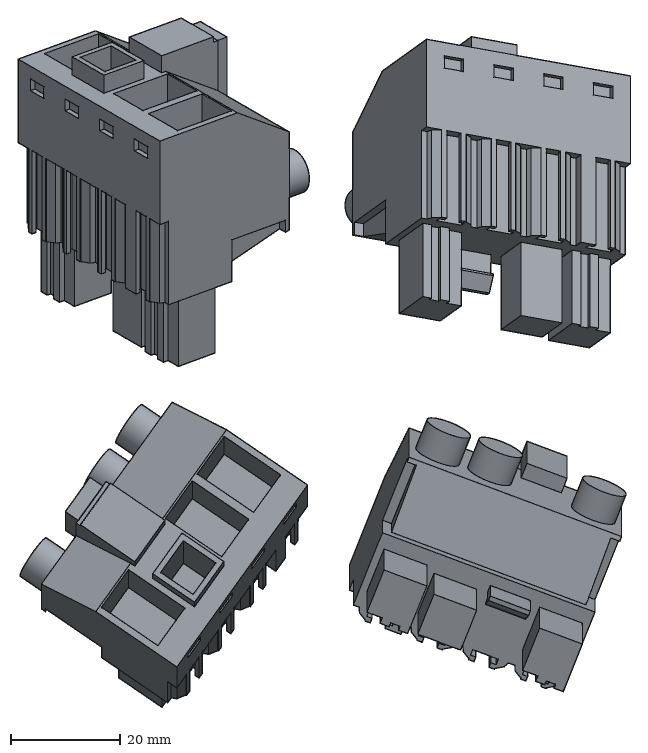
import cadquery as cq


POLE_COUNT = 4
PITCH = 10.2
POLE_X = [(i - (POLE_COUNT - 1) / 2) * PITCH for i in range(POLE_COUNT)]
LATCH_X = POLE_X[1]
CONTACT_X = [POLE_X[0], POLE_X[2], POLE_X[3]]
KEYED_LEG_X = [POLE_X[0], POLE_X[3]]
PLAIN_LEG_X = POLE_X[2]

WIDTH = 41.75
DEPTH = 30.3
BOTTOM_Z = 14.4
TOP_Z = 48.75
FOOT_DEPTH = 16.8
BEVEL_START_Y = 18.1
BEVEL_END_Z = 40.9
BELLY_REAR_Z = 20.75
BELLY_FOOT_Z = 17.0
RELIEF_TOP_Z = 23.0
RELIEF_INSET = 1.8
LIP_THICKNESS = 0.9

CAVITY_WIDTH = 8.6
CAVITY_FRONT_Y = 5.15
CAVITY_REAR_Y = 17.75
CAVITY_FLOOR_Z = 34.1
WINDOW_WIDTH = 3.95
WINDOW_HEIGHT = 2.4
WINDOW_BOTTOM_Z = 43.75
WINDOW_DEPTH = 1.05

TUBE_SIZE = 9.35
TUBE_WALL = 1.05
TUBE_FRONT_Y = 3.85
TUBE_TOP_Z = 52.5

RIB_TOP_Z = 31.55
VALLEY_DEPTH = 2.05
SHOULDER_DEPTH = 1.1
CREST_STEP = 0.15
RIB_ROOT = 4.45
RIB_SHOULDER = 4.05
RIB_CREST = 2.5
RIB_GROOVE_HALF_WIDTH = 1.45
RIB_LIP_THICKNESS = 0.95
RIB_UNDERCUT_HALF_WIDTH = 2.5
PLAIN_BLOCK_REACH = 4.55

LEG_WIDTH = 8.4
LEG_FRONT_Y = 4.3
PLAIN_LEG_FRONT_Y = 4.9
PLAIN_LEG_REAR_Y = 13.0
LEG_REAR_Y = 14.0
LEG_FIRST_KEY_START = 1.8
LEG_FIRST_KEY_WIDTH = 1.85
LEG_FIRST_KEY_DEPTH = 0.8
LEG_SECOND_KEY_START = 5.4
LEG_SECOND_KEY_DEPTH = 1.1

TONGUE_WIDTH = 7.9
TONGUE_REAR_Y = 14.6
TONGUE_FRONT_Y = 13.1
TONGUE_TIP_Z = 7.1
BARB_TOP_Z = 10.3
BARB_EDGE_Z = 9.9
BARB_FRONT_Y = 12.1
BARB_TIP_Y = 13.7

LATCH_WIDTH = 9.55
LATCH_LEFT_X = LATCH_X - TUBE_SIZE / 2
LATCH_FRONT_Y = 17.15
LATCH_TOP_Z = 52.3
LATCH_STEP_Y = 29.35
LATCH_STEP_Z = 51.2
TAB_WIDTH = 7.9
TAB_REAR_Y = 33.25
TAB_BOTTOM_Z = 35.35
TAB_TOP_Z = 50.6

STUD_DIAMETER = 8.55
STUD_Z = 28.8
STUD_END_Y = 36.0


def block(x_range, y_range, z_range):
    """Box between the given limits."""
    size = [limits[1] - limits[0] for limits in (x_range, y_range, z_range)]
    corner = (x_range[0], y_range[0], z_range[0])
    return cq.Workplane("XY").box(*size, centered=False).translate(corner)


def centred_block(x, width, y_range, z_range):
    """Box with its middle at x."""
    return block((x - width / 2, x + width / 2), y_range, z_range)


def side_profile(x_left, width, points):
    """Prism along X with its outline given as (Y, Z) points."""
    return cq.Workplane("YZ", origin=(x_left, 0, 0)).polyline(points).close().extrude(width)


def housing_body():
    outline = [
        (0, BOTTOM_Z),
        (0, TOP_Z),
        (BEVEL_START_Y, TOP_Z),
        (DEPTH, BEVEL_END_Z),
        (DEPTH, BELLY_REAR_Z),
        (FOOT_DEPTH, BELLY_FOOT_Z),
        (FOOT_DEPTH, BOTTOM_Z),
    ]
    body = side_profile(-WIDTH / 2, WIDTH, outline)
    relief_y = (FOOT_DEPTH, DEPTH - LIP_THICKNESS)
    relief_z = (BOTTOM_Z, RELIEF_TOP_Z)
    for x in (-WIDTH / 2, WIDTH / 2 - RELIEF_INSET):
        body = body.cut(block((x, x + RELIEF_INSET), relief_y, relief_z))
    return body


def rib_outline(x, side):
    """Half of a grooved rib as (X, Y) points; side is 1 for the left half and -1 for the right."""
    half = [
        (-RIB_ROOT, VALLEY_DEPTH),
        (-RIB_SHOULDER, SHOULDER_DEPTH),
        (-RIB_CREST, CREST_STEP),
        (-RIB_CREST, 0),
        (-RIB_GROOVE_HALF_WIDTH, 0),
        (-RIB_GROOVE_HALF_WIDTH, RIB_LIP_THICKNESS),
        (-RIB_UNDERCUT_HALF_WIDTH, RIB_LIP_THICKNESS),
        (-RIB_UNDERCUT_HALF_WIDTH, VALLEY_DEPTH),
    ]
    return [(x + side * dx, y) for dx, y in half]


def rib_front():
    """All rib halves and the plain block that replaces the left half of the last rib."""
    height = RIB_TOP_Z - BOTTOM_Z
    plane = cq.Workplane("XY", origin=(0, 0, BOTTOM_Z))
    block_start = POLE_X[-1] - PLAIN_BLOCK_REACH
    undercut_start = POLE_X[-1] - RIB_UNDERCUT_HALF_WIDTH
    plain_block = block((block_start, undercut_start), (0, VALLEY_DEPTH), (BOTTOM_Z, RIB_TOP_Z))
    halves = []
    for x in POLE_X:
        for side in (1, -1):
            halves.append(plane.polyline(rib_outline(x, side)).close().extrude(height))
    return [plain_block, *halves]


def plain_leg(x):
    return centred_block(x, LEG_WIDTH, (PLAIN_LEG_FRONT_Y, PLAIN_LEG_REAR_Y), (0, BOTTOM_Z))


def keyed_leg(x):
    """Leg with two coding steps cut into its front."""
    solid = centred_block(x, LEG_WIDTH, (LEG_FRONT_Y, LEG_REAR_Y), (0, BOTTOM_Z))
    left_x = x - LEG_WIDTH / 2
    first_start = left_x + LEG_FIRST_KEY_START
    first_x = (first_start, first_start + LEG_FIRST_KEY_WIDTH)
    second_x = (left_x + LEG_SECOND_KEY_START, left_x + LEG_WIDTH)
    for key_x, depth in ((first_x, LEG_FIRST_KEY_DEPTH), (second_x, LEG_SECOND_KEY_DEPTH)):
        key_y = (LEG_FRONT_Y, LEG_FRONT_Y + depth)
        solid = solid.cut(block(key_x, key_y, (0, BOTTOM_Z)))
    return solid


def tongue():
    outline = [
        (TONGUE_REAR_Y, BOTTOM_Z),
        (TONGUE_FRONT_Y, BOTTOM_Z),
        (TONGUE_FRONT_Y, BARB_TOP_Z),
        (BARB_FRONT_Y, BARB_TOP_Z),
        (BARB_FRONT_Y, BARB_EDGE_Z),
        (BARB_TIP_Y, TONGUE_TIP_Z),
        (TONGUE_REAR_Y, TONGUE_TIP_Z),
    ]
    return side_profile(LATCH_X - TONGUE_WIDTH / 2, TONGUE_WIDTH, outline)


def make_housing():
    body = housing_body()

    valley = centred_block(0, WIDTH, (0, VALLEY_DEPTH), (BOTTOM_Z, RIB_TOP_Z))
    body = body.cut(valley)
    for piece in rib_front():
        body = body.union(piece)

    for x in KEYED_LEG_X:
        body = body.union(keyed_leg(x))
    body = body.union(plain_leg(PLAIN_LEG_X))
    body = body.union(tongue())

    tube_y = (TUBE_FRONT_Y, TUBE_FRONT_Y + TUBE_SIZE)
    bore_y = (tube_y[0] + TUBE_WALL, tube_y[1] - TUBE_WALL)
    body = body.union(centred_block(LATCH_X, TUBE_SIZE, tube_y, (TOP_Z, TUBE_TOP_Z)))
    bore_size = TUBE_SIZE - 2 * TUBE_WALL
    body = body.cut(centred_block(LATCH_X, bore_size, bore_y, (CAVITY_FLOOR_Z, TUBE_TOP_Z)))

    cavity_y = (CAVITY_FRONT_Y, CAVITY_REAR_Y)
    for x in CONTACT_X:
        body = body.cut(centred_block(x, CAVITY_WIDTH, cavity_y, (CAVITY_FLOOR_Z, TOP_Z)))

    window_z = (WINDOW_BOTTOM_Z, WINDOW_BOTTOM_Z + WINDOW_HEIGHT)
    for x in POLE_X:
        body = body.cut(centred_block(x, WINDOW_WIDTH, (0, WINDOW_DEPTH), window_z))
    return body


def make_latch():
    """Slab that rests on the sloping top, with a narrower tab down the rear face."""
    outline = [
        (LATCH_FRONT_Y, TOP_Z),
        (LATCH_FRONT_Y, LATCH_TOP_Z),
        (LATCH_STEP_Y, LATCH_TOP_Z),
        (LATCH_STEP_Y, LATCH_STEP_Z),
        (DEPTH, LATCH_STEP_Z),
        (DEPTH, BEVEL_END_Z),
        (BEVEL_START_Y, TOP_Z),
    ]
    slab = side_profile(LATCH_LEFT_X, LATCH_WIDTH, outline)
    tab = centred_block(LATCH_X, TAB_WIDTH, (DEPTH, TAB_REAR_Y), (TAB_BOTTOM_Z, TAB_TOP_Z))
    return slab.union(tab)


def make_stud(x):
    """Round stud that stands on the rear face."""
    plane = cq.Workplane("XZ", origin=(x, DEPTH, STUD_Z))
    return plane.circle(STUD_DIAMETER / 2).extrude(DEPTH - STUD_END_Y)


housing = make_housing()
latch = make_latch()
studs = [make_stud(x) for x in CONTACT_X]

result = cq.Compound.makeCompound([housing.val(), latch.val(), *[stud.val() for stud in studs]])